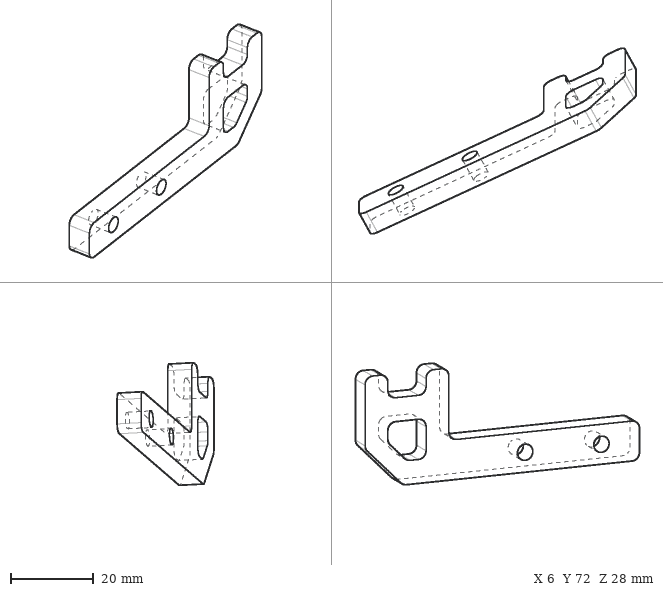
import cadquery as cq

thickness = 6.0
length = 72.0
height = 28.0

arm_height = 10.0
head_width = 22.0
outer_bevel = 10.0
corner_radius = 2.0

prong_width = 6.0
opening_width = 10.0
slot_depth = 6.0
window_bottom = 6.0
window_height = 10.0
window_bevel = 5.0

hole_diameter = 4.0
hole_height = arm_height / 2
hole_end_distance = 10.0
hole_spacing = 20.0
hole_count = 2

head_front = length - head_width
opening_back = length - prong_width
opening_front = opening_back - opening_width
slot_floor = height - slot_depth
window_top = window_bottom + window_height


def rounded_plate(points):
    """Extrude a (Y, Z) outline through the thickness and round all its corners."""
    plate = cq.Workplane("YZ").polyline(points).close().extrude(thickness)
    return plate.edges("|X").fillet(corner_radius)


def bracket_body():
    """L-shaped plate with a bevelled heel and a slot that leaves two prongs."""
    return rounded_plate([
        (0, 0),
        (length - outer_bevel, 0),
        (length, outer_bevel),
        (length, height),
        (opening_back, height),
        (opening_back, slot_floor),
        (opening_front, slot_floor),
        (opening_front, height),
        (head_front, height),
        (head_front, arm_height),
        (0, arm_height),
    ])


def window_cutter():
    """Square window with its lower back corner bevelled parallel to the heel."""
    return rounded_plate([
        (opening_front, window_bottom),
        (opening_back - window_bevel, window_bottom),
        (opening_back, window_bottom + window_bevel),
        (opening_back, window_top),
        (opening_front, window_top),
    ])


def hole_cutter():
    """Row of round through holes along the arm."""
    centers = [(hole_end_distance + i * hole_spacing, hole_height) for i in range(hole_count)]
    return cq.Workplane("YZ").pushPoints(centers).circle(hole_diameter / 2).extrude(thickness)


result = bracket_body().cut(window_cutter()).cut(hole_cutter())